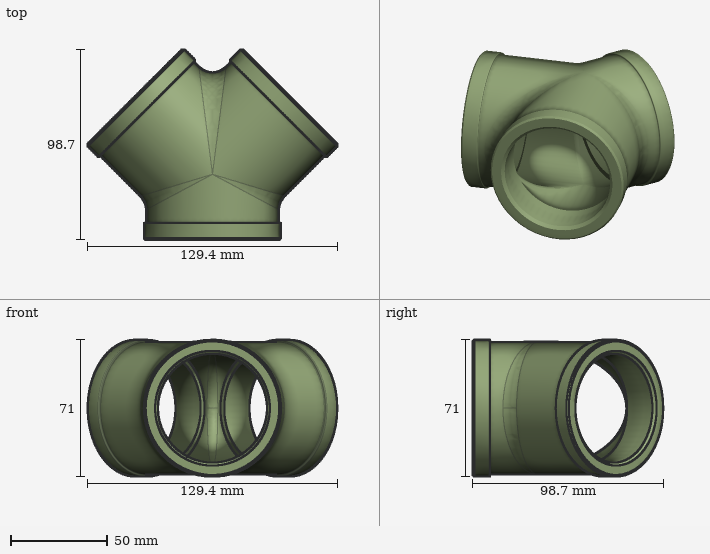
import cadquery as cq
import math


pipe_radius = 34.4
collar_diameter = 71.0
collar_radius = collar_diameter / 2
collar_width = 8.9
collar_chamfer = 0.9
collar_round = 0.4
outer_blend_radius = 10.0

bore_radius = 31.0
bore_blend_radius = 3.9
socket_radius = 28.2
socket_depth = 20.0
mouth_chamfer = 1.5

overall_width = 129.4
arm_angle = 45.0
arm_radians = math.radians(arm_angle)
collar_reach = collar_radius * math.cos(arm_radians)
arm_length = collar_chamfer + (overall_width / 2 - collar_reach) / math.sin(arm_radians)
leg_length = 34.0
ports = [(180.0, leg_length), (arm_angle, arm_length), (-arm_angle, arm_length)]


def at_port(shape, angle):
    """Turn a shape modelled along +Z so that it lies along a port axis."""
    along_y = shape.rotate((0, 0, 0), (1, 0, 0), -90)
    return along_y.rotate((0, 0, 0), (0, 0, 1), angle)


def cylinder(radius, start, end):
    return cq.Workplane("XY").workplane(offset=start).circle(radius).extrude(end - start)


def junction(radius, blend_radius):
    """Three equal pipes joined at the origin, with the edges between them rounded."""
    body = cq.Workplane("XY")
    for angle, length in ports:
        body = body.union(at_port(cylinder(radius, 0, length), angle))
    return body.edges("%ELLIPSE").fillet(blend_radius)


def collar(length):
    """End ring on a short stub of pipe, with a softened step between them."""
    step = length - collar_width
    stub = cylinder(pipe_radius, step - 2 * collar_round, length)
    ring = stub.union(cylinder(collar_radius, step, length))
    ring = ring.faces("|Z").faces(">Z[-2]").edges().fillet(collar_round)
    return ring.faces(">Z").edges().chamfer(collar_chamfer)


def socket(length):
    """Bore of a port, narrower than the main bore and chamfered at its mouth."""
    mouth_radius = socket_radius + mouth_chamfer
    profile = [
        (0, length - socket_depth),
        (socket_radius, length - socket_depth),
        (socket_radius, length - mouth_chamfer),
        (mouth_radius, length),
        (0, length),
    ]
    return cq.Workplane("XZ").polyline(profile).close().revolve(360, (0, 0, 0), (0, 1, 0))


def cavity():
    """Main bores ending in a flat shoulder, continued by the sockets."""
    space = junction(bore_radius, bore_blend_radius)
    for angle, length in ports:
        space = space.cut(at_port(cylinder(pipe_radius, length - socket_depth, length), angle))
        space = space.union(at_port(socket(length), angle))
    return space


outside = junction(pipe_radius, outer_blend_radius)
for angle, length in ports:
    outside = outside.union(at_port(collar(length), angle))

result = outside.cut(cavity())